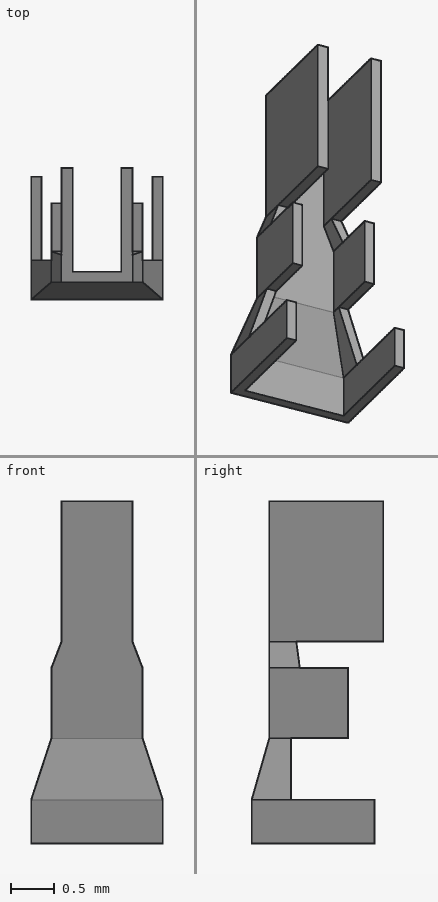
import cadquery as cq

SHEET = 0.12
TOP_WALL = 0.13

BASE_WIDTH = 1.50
MIDDLE_WIDTH = 1.04
TOP_WIDTH = 0.81

BASE_TOP = 0.5
MIDDLE_BOTTOM = 1.2
MIDDLE_TOP = 2.0
TOP_BOTTOM = 2.3
TOTAL_HEIGHT = 3.9

BASE_FLOOR = 0.0
UPPER_FLOOR = 0.2

BASE_EDGE = 1.4
FLARE_EDGE = 0.45
MIDDLE_EDGE = 1.1
NECK_LOWER_EDGE = 0.55
NECK_UPPER_EDGE = 0.51
TOP_EDGE = 1.5


def channel_profile(z, width, floor, edge, wall):
    """Closed U-shaped wire at height z, open toward +Y."""
    outer = width / 2
    inner = outer - wall
    inner_floor = floor + SHEET
    points = [
        (-outer, floor),
        (outer, floor),
        (outer, edge),
        (inner, edge),
        (inner, inner_floor),
        (-inner, inner_floor),
        (-inner, edge),
        (-outer, edge),
    ]
    return cq.Wire.makePolygon([cq.Vector(x, y, z) for x, y in points], close=True)


def channel(lower, upper):
    """Ruled channel section between two U-shaped wires."""
    return cq.Workplane(obj=cq.Solid.makeLoft([lower, upper], True))


def straight_channel(bottom, top, width, floor, edge, wall=SHEET):
    """Channel section with the same profile over its whole height."""
    return channel(
        channel_profile(bottom, width, floor, edge, wall),
        channel_profile(top, width, floor, edge, wall),
    )


base = straight_channel(0, BASE_TOP, BASE_WIDTH, BASE_FLOOR, BASE_EDGE)

flare = channel(
    channel_profile(BASE_TOP, BASE_WIDTH, BASE_FLOOR, FLARE_EDGE, SHEET),
    channel_profile(MIDDLE_BOTTOM, MIDDLE_WIDTH, UPPER_FLOOR, FLARE_EDGE, SHEET),
)

middle = straight_channel(MIDDLE_BOTTOM, MIDDLE_TOP, MIDDLE_WIDTH, UPPER_FLOOR, MIDDLE_EDGE)

neck = channel(
    channel_profile(MIDDLE_TOP, MIDDLE_WIDTH, UPPER_FLOOR, NECK_LOWER_EDGE, SHEET),
    channel_profile(TOP_BOTTOM, TOP_WIDTH, UPPER_FLOOR, NECK_UPPER_EDGE, TOP_WALL),
)

top_channel = straight_channel(
    TOP_BOTTOM, TOTAL_HEIGHT, TOP_WIDTH, UPPER_FLOOR, TOP_EDGE, TOP_WALL
)

result = base.union(flare).union(middle).union(neck).union(top_channel).clean()